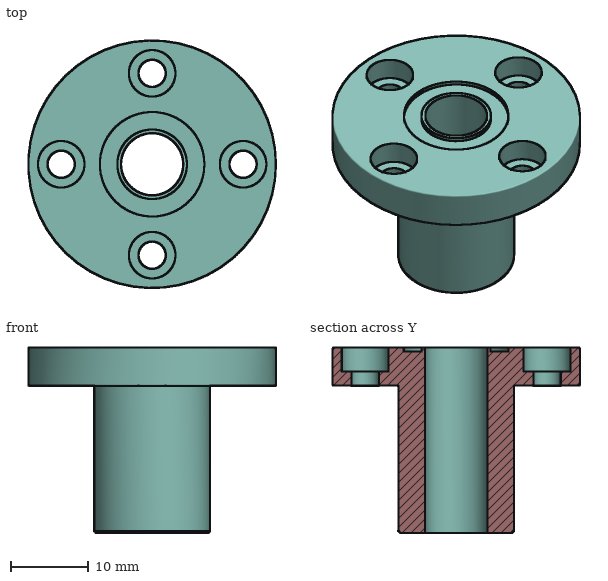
import cadquery as cq

flange_diameter = 32.0
flange_thickness = 5.0
flange_edge_radius = 0.2

total_height = 24.0
sleeve_diameter = 15.0
sleeve_end_chamfer = 0.3
bore_diameter = 8.0

recess_diameter = 13.5
recess_depth = 0.5
collar_diameter = 9.0

hole_count = 4
hole_circle_diameter = 23.5
hole_diameter = 3.5
counterbore_diameter = 6.0
counterbore_depth = 3.1


def disc(diameter, height, bottom):
    """Solid upright cylinder centred on the Z axis, starting at height bottom."""
    return cq.Workplane("XY").workplane(offset=bottom).circle(diameter / 2).extrude(height)


flange = disc(flange_diameter, flange_thickness, total_height - flange_thickness)
flange = flange.edges().fillet(flange_edge_radius)
sleeve = disc(sleeve_diameter, total_height, 0).faces("<Z").edges().chamfer(sleeve_end_chamfer)
body = flange.union(sleeve)

recess_floor = total_height - recess_depth
recess = disc(recess_diameter, recess_depth, recess_floor)
collar = disc(collar_diameter, recess_depth, recess_floor)
body = body.cut(recess.cut(collar))
body = body.cut(disc(bore_diameter, total_height, 0))

result = (
    body.faces(">Z")
    .workplane(origin=(0, 0, total_height))
    .polarArray(hole_circle_diameter / 2, 0, 360, hole_count)
    .cboreHole(hole_diameter, counterbore_diameter, counterbore_depth)
)